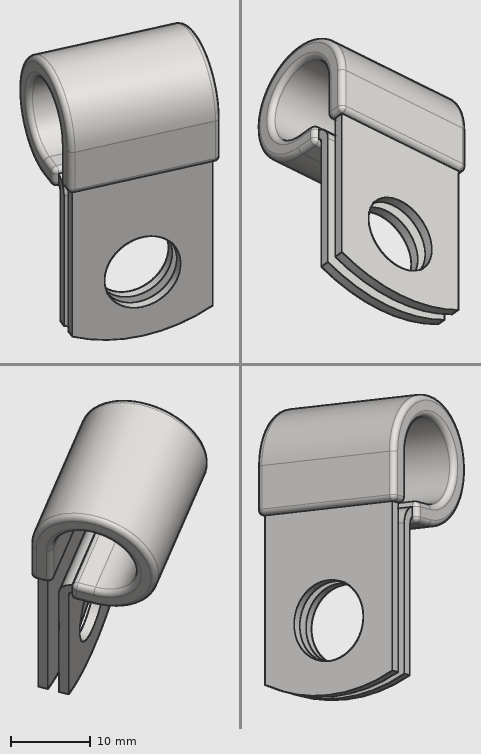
import cadquery as cq
import math

total_height = 38.5
loop_radius = 8.35
cushion_width = 20.65
cushion_round = 0.75
strap_thickness = 1.3
cushion_upright = 6.3
cushion_foot = 3.05
left_leg_x = 3.55
bend_inner_radius = 1.0
hole_diameter = 10.35
hole_height = 9.5
tip_sagitta = 2.2

strap_width = cushion_width - 2 * cushion_round
cushion_thickness = strap_thickness + 2 * cushion_round
loop_inner_radius = loop_radius - cushion_thickness
strap_outer_radius = loop_radius - cushion_round
strap_inner_radius = strap_outer_radius - strap_thickness
bottom_z = loop_radius - total_height
tip_side_z = bottom_z + tip_sagitta


def loop_band(outer, inner, upright, foot, width):
    """Three-quarter ring with a straight run at each end, centred on Y."""
    diagonal = math.sqrt(0.5)
    return (
        cq.Workplane("XZ")
        .moveTo(outer, -upright)
        .lineTo(outer, 0)
        .threePointArc((-outer * diagonal, outer * diagonal), (0, -outer))
        .lineTo(foot, -outer)
        .lineTo(foot, -inner)
        .lineTo(0, -inner)
        .threePointArc((-inner * diagonal, inner * diagonal), (inner, 0))
        .lineTo(inner, -upright)
        .close()
        .extrude(width / 2, both=True)
    )


def make_cushion():
    band = loop_band(loop_radius, loop_inner_radius, cushion_upright, cushion_foot, cushion_width)
    end_points = [
        (x, 0, z)
        for x, z in (
            (loop_radius, -cushion_upright),
            (loop_inner_radius, -cushion_upright),
            (cushion_foot, -loop_radius),
            (cushion_foot, -loop_inner_radius),
        )
    ]
    edges = band.faces("<Y or >Y").edges()
    for point in end_points:
        edges = edges.add(band.edges(cq.NearestToPointSelector(point)))
    return edges.fillet(cushion_round)


def make_left_leg():
    """Leg that bends down out of the bottom of the loop."""
    bend_outer_radius = bend_inner_radius + strap_thickness
    bend_x = left_leg_x - bend_inner_radius
    bend_z = -strap_outer_radius - bend_inner_radius
    diagonal = math.sqrt(0.5)
    return (
        cq.Workplane("XZ")
        .moveTo(bend_x, -strap_outer_radius)
        .threePointArc(
            (bend_x + bend_inner_radius * diagonal, bend_z + bend_inner_radius * diagonal),
            (left_leg_x, bend_z),
        )
        .lineTo(left_leg_x, bottom_z)
        .lineTo(left_leg_x + strap_thickness, bottom_z)
        .lineTo(left_leg_x + strap_thickness, bend_z)
        .threePointArc(
            (bend_x + bend_outer_radius * diagonal, bend_z + bend_outer_radius * diagonal),
            (bend_x, -strap_inner_radius),
        )
        .close()
        .extrude(strap_width / 2, both=True)
    )


def make_right_leg():
    """Straight leg that starts inside the upright run of the cushion."""
    return cq.Workplane("XY").box(
        strap_thickness, strap_width, -bottom_z, centered=(False, True, False)
    ).translate((strap_inner_radius, 0, bottom_z))


def make_leg_outline():
    """Side outline of the legs, with the curved tip and the bolt hole, cut through X."""
    half_width = strap_width / 2
    return (
        cq.Workplane("YZ")
        .moveTo(-half_width, 0)
        .lineTo(-half_width, tip_side_z)
        .threePointArc((0, bottom_z), (half_width, tip_side_z))
        .lineTo(half_width, 0)
        .close()
        .moveTo(0, bottom_z + hole_height)
        .circle(hole_diameter / 2)
        .extrude(loop_radius)
    )


legs = make_left_leg().union(make_right_leg()).intersect(make_leg_outline())
result = make_cushion().union(legs)